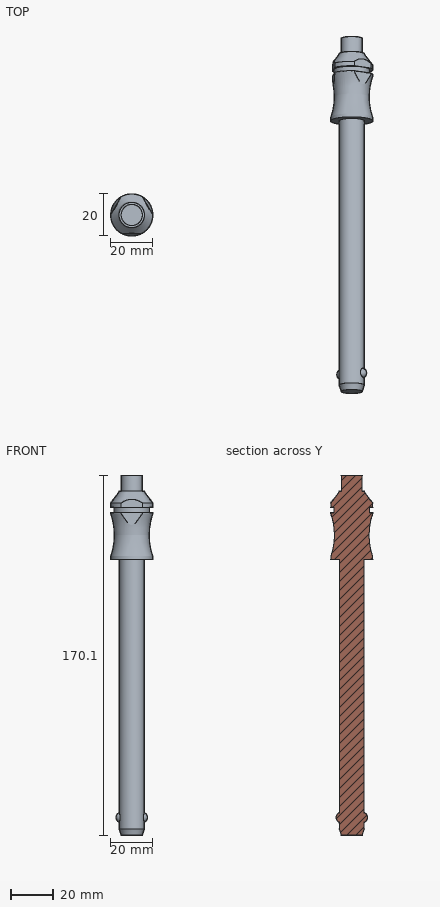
import cadquery as cq
import math


shank_radius = 6.0
shank_length = 130.35
tip_length = 3.0
tip_radius = 5.0

ball_radius = 2.5
ball_offset = 5.0
ball_height_above_tip = 8.5

handle_radius = 10.0
base_rim_height = 1.5
waist_radius = 8.3
waist_height = 11.4
body_height = 22.25
body_rim_height = 0.5

groove_radius = 8.5
groove_height = 2.4
cap_rim_height = 2.1
cone_height = 4.6
collar_bottom_radius = 6.5
collar_top_radius = 6.0
collar_height = 1.0

button_radius = 5.0
button_height = 7.4

flat_count = 3
flat_distance = handle_radius * math.cos(math.pi / 6)
first_flat_angle = -90.0

body_rim_bottom = body_height - body_rim_height
cap_bottom = body_height + groove_height
cone_bottom = cap_bottom + cap_rim_height
cone_top = cone_bottom + cone_height
collar_top = cone_top + collar_height
button_top = collar_top + button_height


def flare_point(flare_end_height):
    """Middle point of the arc that leaves the waist vertically and ends at the handle radius."""
    rise = flare_end_height - waist_height
    spread = handle_radius - waist_radius
    arc_radius = (rise**2 + spread**2) / (2 * spread)
    half_angle = math.asin(abs(rise) / arc_radius) / 2
    radius = waist_radius + arc_radius * (1 - math.cos(half_angle))
    height = waist_height + math.copysign(arc_radius * math.sin(half_angle), rise)
    return (radius, height)


def make_shank():
    return (
        cq.Workplane("XZ")
        .moveTo(0, -shank_length)
        .lineTo(tip_radius, -shank_length)
        .lineTo(shank_radius, -shank_length + tip_length)
        .lineTo(shank_radius, base_rim_height)
        .lineTo(0, base_rim_height)
        .close()
        .revolve(360, (0, 0, 0), (0, 1, 0))
    )


def make_handle():
    return (
        cq.Workplane("XZ")
        .lineTo(handle_radius, 0)
        .lineTo(handle_radius, base_rim_height)
        .threePointArc(flare_point(base_rim_height), (waist_radius, waist_height))
        .threePointArc(flare_point(body_rim_bottom), (handle_radius, body_rim_bottom))
        .lineTo(handle_radius, body_height)
        .lineTo(groove_radius, body_height)
        .lineTo(groove_radius, cap_bottom)
        .lineTo(handle_radius, cap_bottom)
        .lineTo(handle_radius, cone_bottom)
        .lineTo(collar_bottom_radius, cone_top)
        .lineTo(collar_top_radius, collar_top)
        .lineTo(button_radius, collar_top)
        .lineTo(button_radius, button_top)
        .lineTo(0, button_top)
        .close()
        .revolve(360, (0, 0, 0), (0, 1, 0))
    )


def cut_flats(handle):
    """Cut the flats from the waist up, leaving the flared base round."""
    block = cq.Workplane("XY").box(
        handle_radius,
        2 * handle_radius,
        button_top - waist_height,
        centered=(False, True, False),
    ).translate((flat_distance, 0, waist_height))
    for index in range(flat_count):
        angle = first_flat_angle + index * 360 / flat_count
        handle = handle.cut(block.rotate((0, 0, 0), (0, 0, 1), angle))
    return handle


def make_ball(side):
    ball_height = -shank_length + ball_height_above_tip
    return cq.Workplane("XY").sphere(ball_radius).translate((side * ball_offset, 0, ball_height))


result = cut_flats(make_handle()).union(make_shank())
for side in (-1, 1):
    result = result.union(make_ball(side))